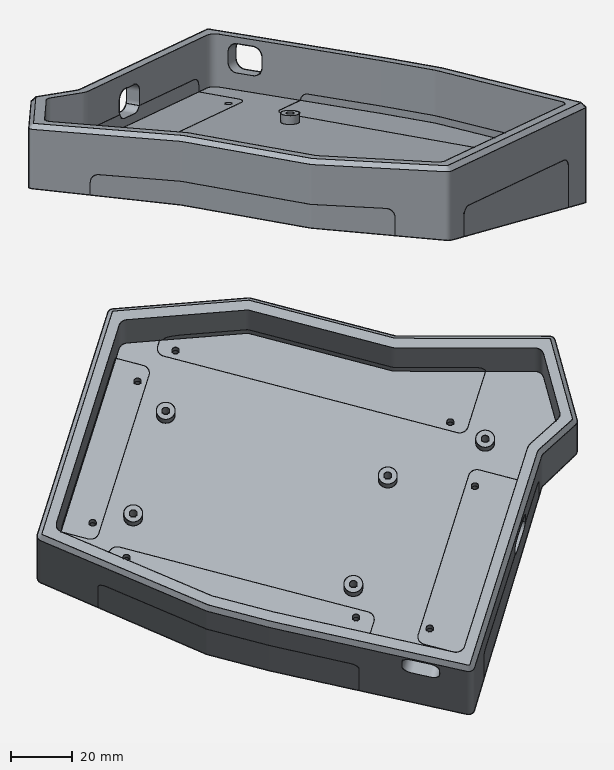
import cadquery as cq
import math


REAR_Y = 62.9
LEFT_X = -71.1
RIGHT_X = 78.8
FRONT_Y = -49.0
OUTLINE = [
    (LEFT_X, 60.2),
    (LEFT_X, -21.1),
    (-79.1, -35.5),
    (-63.0, -63.2),
    (-13.5, FRONT_Y),
    (36.0, FRONT_Y),
    (RIGHT_X, -32.5),
    (RIGHT_X, 53.3),
    (18.3, REAR_Y),
    (-3.2, REAR_Y),
]
WALL = 5.0
OUTER_CORNER_RADIUS = 2.0
INNER_CORNER_RADIUS = 3.0
RIM_CHAMFER = 1.5
RIM_Z = 18.0
OVERALL_HEIGHT = 35.0
BASE_SLOPE = 6.0
LOWEST_Z = RIM_Z - OVERALL_HEIGHT
REACH = 189.2

STANDOFF_DIAMETER = 6.1
STANDOFF_HEIGHT = 3.0
STANDOFF_HOLE_DIAMETER = 2.5
STANDOFF_HOLE_DEPTH = 5.0
STANDOFF_POINTS = [
    (-23.2, 34.4),
    (-23.2, -6.1),
    (52.7, 29.8),
    (52.7, -8.5),
    (-50.0, -27.6),
]
DRILL_TIP_ANGLE = 118.0

PLATES = [
    (0, -33.0, 56.8, 41.3, 2.5),
    (90, -17.7, 47.5, 48.1, 4.9),
    (180, -62.0, 43.0, 28.5, 2.8),
    (-90, -41.3, 23.5, 61.8, 2.0),
]
PLATE_CORNER_RADIUS = 2.8
LIP_WIDTH = 5.0
LIP_THICKNESS = 2.5
SCREW_HOLE_DIAMETER = 2.4
SCREW_HOLE_DEPTH = 5.0
SCREW_EDGE_OFFSET = 3.0
SCREW_END_OFFSET = 6.0

WINDOW_WIDTH = 12.6
WINDOW_HEIGHT = 10.0
WINDOW_RADIUS = 3.3
WINDOW_CUT_DEPTH = 3 * WALL
LEFT_WINDOW_Y = 4.4
LEFT_WINDOW_Z = 7.9
REAR_WINDOW_X = -53.6
REAR_WINDOW_Z = 10.7


def make_envelope():
    """Outer shape: rounded outline with a chamfered rim and a sloping underside."""
    block = cq.Workplane("XY", origin=(0, 0, LOWEST_Z)).polyline(OUTLINE).close().extrude(OVERALL_HEIGHT)
    block = block.edges("|Z").fillet(OUTER_CORNER_RADIUS)
    block = block.faces(">Z").edges().chamfer(RIM_CHAMFER)
    rise = REACH * math.tan(math.radians(BASE_SLOPE))
    below_base = [
        (REAR_Y, LOWEST_Z),
        (REAR_Y - REACH, LOWEST_Z + rise),
        (REAR_Y - REACH, LOWEST_Z),
    ]
    wedge = cq.Workplane("YZ").polyline(below_base).close().extrude(REACH, both=True)
    return block.cut(wedge)


def make_cavity():
    """Open-topped interior above the floor, one wall thickness inside the outline."""
    cavity = cq.Workplane("XY").polyline(OUTLINE).close().offset2D(-WALL).extrude(RIM_Z)
    return cavity.edges("|Z").fillet(INNER_CORNER_RADIUS)


def window_cutter(axis):
    """Rounded rectangular prism centred on the origin, running along the X or Y axis."""
    plane = {"X": "YZ", "Y": "XZ"}[axis]
    prism = cq.Workplane(plane).rect(WINDOW_WIDTH, WINDOW_HEIGHT).extrude(WINDOW_CUT_DEPTH / 2, both=True)
    return prism.edges("|" + axis).fillet(WINDOW_RADIUS)


def make_windows():
    left = window_cutter("X").translate((LEFT_X, LEFT_WINDOW_Y, LEFT_WINDOW_Z))
    rear = window_cutter("Y").translate((REAR_WINDOW_X, REAR_Y, REAR_WINDOW_Z))
    return left.union(rear)


def drill_cutter(points, diameter, top_z, depth):
    """Blind vertical holes with conical bottoms; depth is that of the straight part."""
    radius = diameter / 2
    tip = radius / math.tan(math.radians(DRILL_TIP_ANGLE / 2))
    profile = [(0, 0), (radius, 0), (radius, -depth), (0, -depth - tip)]
    drill = cq.Workplane("XZ").polyline(profile).close().revolve(360, (0, 0), (0, 1)).val()
    return cq.Workplane("XY", origin=(0, 0, top_z)).pushPoints(points).eachpoint(lambda place: drill.moved(place))


def make_standoffs():
    return cq.Workplane("XY").pushPoints(STANDOFF_POINTS).circle(STANDOFF_DIAMETER / 2).extrude(STANDOFF_HEIGHT)


def plate_region(turn, start, end, inner, top_z):
    """Space of one side plate: a deep body under the wall and a thin lip at floor level."""

    def block(inner_edge, bottom, top):
        solid = cq.Workplane("XY").box(end - start, REACH, top - bottom, centered=False)
        return solid.edges("|Z and <Y").fillet(PLATE_CORNER_RADIUS).translate((start, inner_edge, bottom))

    body = block(inner + LIP_WIDTH, LOWEST_Z, top_z)
    body = body.edges("|Y and >Z").fillet(PLATE_CORNER_RADIUS)
    lip = block(inner, -LIP_THICKNESS, 0)
    return body.union(lip).rotate((0, 0, 0), (0, 0, 1), turn)


def plate_screw_holes(turn, start, end, inner):
    """Two holes through the lip and into the ledge below it."""
    across = inner + SCREW_EDGE_OFFSET
    points = [(start + SCREW_END_OFFSET, across), (end - SCREW_END_OFFSET, across)]
    holes = drill_cutter(points, SCREW_HOLE_DIAMETER, 0, SCREW_HOLE_DEPTH)
    return holes.rotate((0, 0, 0), (0, 0, 1), turn)


def make_plate(shell, turn, start, end, inner, top_z):
    """Part of the shell inside the plate region, drilled for its screws."""
    plate = shell.intersect(plate_region(turn, start, end, inner, top_z))
    return plate.cut(plate_screw_holes(turn, start, end, inner))


def make_housing(shell):
    """Shell with standoffs, and with recesses and screw holes for the side plates."""
    housing = shell.union(make_standoffs())
    housing = housing.cut(
        drill_cutter(STANDOFF_POINTS, STANDOFF_HOLE_DIAMETER, STANDOFF_HEIGHT, STANDOFF_HOLE_DEPTH)
    )
    for turn, start, end, inner, top_z in PLATES:
        housing = housing.cut(plate_region(turn, start, end, inner, top_z))
        housing = housing.cut(plate_screw_holes(turn, start, end, inner))
    return housing


tray_shell = make_envelope().cut(make_cavity()).cut(make_windows())
tray_housing = make_housing(tray_shell)
side_plates = [make_plate(tray_shell, *plate) for plate in PLATES]

result = cq.Compound.makeCompound([tray_housing.val(), *[plate.val() for plate in side_plates]])